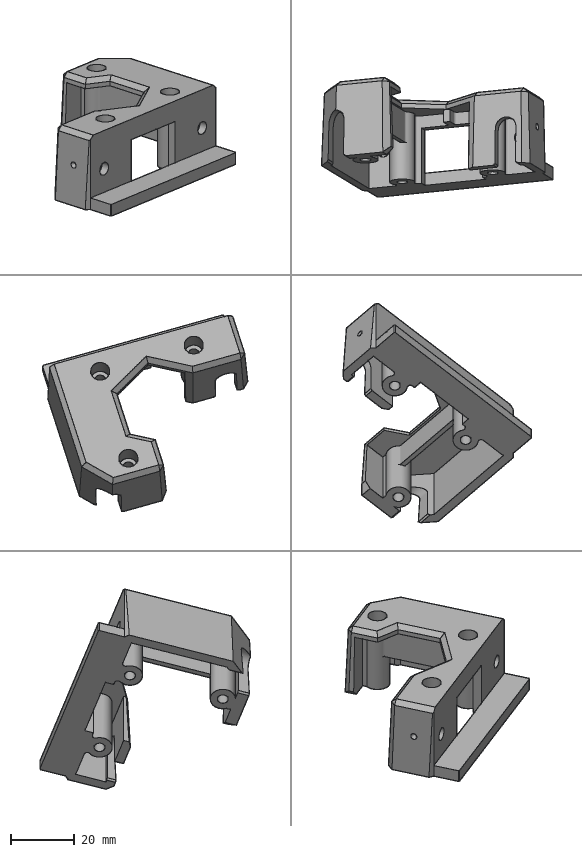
import cadquery as cq
import math


length_y = 62.4
height = 25.0
back_x = 44.9
flange_end_x = 53.6

draft_inset = 0.9
rim_height = 1.5
rim_inset = 1.6
side_height = height - rim_height
roof_underside = 22.0
side_overrun = 12.5

long_leg_end_y = 35.6
short_leg_x = 29.05
slant_x = 9.1
slant_y = 54.25

centre_x = 22.9
centre_y = length_y / 2
hex_apothem = 11.55
screw_spacing = 30.95

facet_leg = 2.05
facet_leg_rim = 3.5
facet_leg_top = 5.0
back_corner = 1.2
foot_chamfer = 2.2

long_leg_inner_x = 3.75
short_leg_inner_x = 32.0
side_wall = 2.9
back_wall_x = 42.1
window_half_width = 10.4
window_height = 18.0

post_diameter = 8.0
bore_diameter = 3.4
counterbore_diameter = 6.0
counterbore_floor = 17.45
post_fillet = 1.0

skirt_y = 44.3
skirt_thickness = 1.5
skirt_bottom = 12.0
web_y = 43.35

rib_width = 2.2
rib_tip_x = 37.55
rib_fillet = 0.95

mount_spacing = 46.9
mount_z = 12.0
slot_width = 7.05
mount_hole_diameter = 4.2
slot_corner = 0.55

dimple_diameter = 2.05
dimple_depth = 1.0
dimple_z = 13.7

flange_thickness = 4.0
flange_corner = 0.3

window_y = centre_y - window_half_width
near_screw = centre_y - screw_spacing / 2
far_screw = centre_y + screw_spacing / 2
left_screw = centre_x - screw_spacing / 2
right_screw = centre_x + screw_spacing / 2
screw_points = [(left_screw, far_screw), (right_screw, far_screw), (right_screw, near_screw)]
mount_ys = [centre_y - mount_spacing / 2, centre_y + mount_spacing / 2]


def block(x_range, y_range, z_range):
    """Box between the given limits."""
    size = [high - low for low, high in (x_range, y_range, z_range)]
    corner = (x_range[0], y_range[0], z_range[0])
    return cq.Workplane("XY").box(*size, centered=False).translate(corner)


def cylinder_x(diameter, y, z, x_range):
    """Cylinder along X."""
    start, end = x_range
    return cq.Workplane("YZ", origin=(start, y, z)).circle(diameter / 2).extrude(end - start)


def base_outline():
    """L-shaped plan with part of a hexagon cut from its inner corner."""
    half_side = hex_apothem / math.sqrt(3)
    slope = math.sqrt(3)
    tip_x = centre_x + 2 * half_side
    top_y = centre_y + hex_apothem
    leg_meets_hex_x = centre_x - half_side - (top_y - long_leg_end_y) / slope
    leg_meets_hex_y = centre_y - (tip_x - short_leg_x) * slope
    stock_x = back_x + side_overrun
    return [
        (short_leg_x, 0),
        (stock_x, 0),
        (stock_x, length_y),
        (slant_x, length_y),
        (0, slant_y),
        (0, long_leg_end_y),
        (leg_meets_hex_x, long_leg_end_y),
        (centre_x - half_side, top_y),
        (centre_x + half_side, top_y),
        (tip_x, centre_y),
        (short_leg_x, leg_meets_hex_y),
    ]


def inset_outline(points, inset):
    """Corners of a counterclockwise outline after its edges all move inward."""
    moved = []
    for index, (x, y) in enumerate(points):
        x_before, y_before = points[index - 1]
        x_after, y_after = points[(index + 1) % len(points)]
        angle_in = math.atan2(y - y_before, x - x_before)
        angle_out = math.atan2(y_after - y, x_after - x)
        half_turn = (angle_out - angle_in) / 2
        bisector = angle_in + half_turn + math.pi / 2
        reach = inset / math.cos(half_turn)
        moved.append((x + reach * math.cos(bisector), y + reach * math.sin(bisector)))
    return moved


def polygon_wire(corners):
    return cq.Wire.makePolygon([cq.Vector(*corner) for corner in corners], close=True)


def faceted_solid(rings):
    """Solid with flat faces between stacked rings that have the same number of corners."""
    faces = [cq.Face.makeFromWires(polygon_wire(ring)) for ring in (rings[0], rings[-1])]
    for lower, upper in zip(rings, rings[1:]):
        for index in range(len(lower)):
            corners = [lower[index - 1], lower[index], upper[index], upper[index - 1]]
            faces.append(cq.Face.makeFromWires(polygon_wire(corners)))
    return cq.Workplane(cq.Solid.makeSolid(cq.Shell.makeShell(faces)))


def corner_facet(x, y):
    """Tool that bevels an outer corner, closing to a point at the top face."""
    margin = 3.1
    rings = []
    for z, leg in [(0, facet_leg), (side_height, facet_leg_rim), (height, facet_leg_top)]:
        reach = leg + margin
        rings.append([(x - margin, y - margin, z), (x + reach, y - margin, z), (x - margin, y + reach, z)])
    return faceted_solid(rings)


def outer_shell():
    """Solid envelope of the housing."""
    rings = []
    for z, inset in [(0, 0), (side_height, draft_inset), (height, draft_inset + rim_inset)]:
        rings.append([(x, y, z) for x, y in inset_outline(base_outline(), inset)])
    shell = faceted_solid(rings)
    shell = shell.intersect(block((0, back_x), (0, length_y), (0, height)))
    for x, y in [(short_leg_x, 0), (0, long_leg_end_y)]:
        shell = shell.cut(corner_facet(x, y))
    for y, inward in [(0, 1), (length_y, -1)]:
        corner = [(back_x, y), (back_x - back_corner, y), (back_x, y + inward * back_corner)]
        shell = shell.cut(cq.Workplane("XY").polyline(corner).close().extrude(height))
    return shell


def cavity():
    """Hollow under the roof, open through the inner corner of the L."""
    slant_slope = (length_y - slant_y) / slant_x
    inner_slant_drop = side_wall * math.hypot(1, slant_slope)
    inner_far_y = length_y - side_wall
    inner_slant_start = slant_y - inner_slant_drop + slant_slope * long_leg_inner_x
    inner_slant_end = (inner_far_y - slant_y + inner_slant_drop) / slant_slope
    points = [
        (short_leg_inner_x, side_wall),
        (back_wall_x, side_wall),
        (back_wall_x, inner_far_y),
        (inner_slant_end, inner_far_y),
        (long_leg_inner_x, inner_slant_start),
        (long_leg_inner_x, window_y),
        (short_leg_inner_x, window_y),
    ]
    hollow = cq.Workplane("XY").polyline(points).close().extrude(roof_underside)
    leg_gap = block((short_leg_x - side_wall, short_leg_inner_x), (window_y, centre_y), (0, roof_underside))
    return hollow.union(leg_gap)


def window():
    """Opening in the back wall, down to the base."""
    y_range = (window_y, length_y - window_y)
    return block((back_wall_x, back_x), y_range, (0, window_height))


def foot_bevel():
    """Bevel under the free end of the long leg."""
    points = [
        (long_leg_end_y - foot_chamfer, 0),
        (long_leg_end_y + foot_chamfer, 0),
        (long_leg_end_y - foot_chamfer, 2 * foot_chamfer),
    ]
    return cq.Workplane("YZ").polyline(points).close().extrude(short_leg_x / 2)


def posts():
    return cq.Workplane("XY").pushPoints(screw_points).circle(post_diameter / 2).extrude(roof_underside)


def skirt():
    """Wall hanging from the roof between the two far posts."""
    x_range = (left_screw, right_screw)
    return block(x_range, (skirt_y, skirt_y + skirt_thickness), (skirt_bottom, roof_underside))


def leg_web():
    """Web joining the left post to the long leg."""
    return block((long_leg_inner_x, left_screw), (web_y, far_screw), (0, roof_underside))


def point_rib():
    """Rib below the roof with filleted roots at the back wall."""
    y_range = (centre_y - rib_width / 2, centre_y + rib_width / 2)
    z_range = (window_height, roof_underside)
    rib = block((rib_tip_x, back_x), y_range, z_range)
    half_root = rib_width / 2 + rib_fillet
    root = block((back_wall_x - rib_fillet, back_x), (centre_y - half_root, centre_y + half_root), z_range)
    for side in (-1, 1):
        centre = (back_wall_x - rib_fillet, centre_y + side * half_root)
        rounding = cq.Workplane("XY").pushPoints([centre]).circle(rib_fillet).extrude(height)
        root = root.cut(rounding)
    return rib.union(root)


def access_slot(y):
    """Round-topped slot through the leg wall, bevelled at the base."""
    half = slot_width / 2
    slot_end = right_screw - post_diameter / 2
    depth_range = (0, slot_end)
    slot = block(depth_range, (y - half, y + half), (0, mount_z))
    mouth_half = half + slot_corner
    mouth_points = [(y - mouth_half, 0), (y + mouth_half, 0), (y, mouth_half)]
    mouth = cq.Workplane("YZ").polyline(mouth_points).close().extrude(slot_end)
    return slot.union(cylinder_x(slot_width, y, mount_z, depth_range)).union(mouth)


def round_post_roots(body):
    """Fillet the corners where posts meet the back wall and the front of the skirt."""
    radius = post_diameter / 2
    wall_reach = math.sqrt(radius**2 - (back_wall_x - right_screw) ** 2)
    skirt_reach = math.sqrt(radius**2 - (far_screw - skirt_y) ** 2)
    roots = [(left_screw + skirt_reach, skirt_y), (right_screw - skirt_reach, skirt_y)]
    for y in (near_screw, far_screw):
        roots += [(back_wall_x, y - wall_reach), (back_wall_x, y + wall_reach)]
    margin = 0.1
    for x, y in roots:
        spot = cq.selectors.BoxSelector(
            (x - margin, y - margin, 0), (x + margin, y + margin, roof_underside)
        )
        body = body.edges("|Z").edges(spot).fillet(post_fillet)
    return body


def screw_bores():
    """Stepped bores through the roof and posts."""
    bores = cq.Workplane("XY").pushPoints(screw_points).circle(bore_diameter / 2).extrude(height)
    heads = cq.Workplane("XY", origin=(0, 0, counterbore_floor)).pushPoints(screw_points)
    return bores.union(heads.circle(counterbore_diameter / 2).extrude(height - counterbore_floor))


def side_dimple():
    """Conical dimple in the near drafted wall, level with the near post."""
    wall_y = draft_inset * dimple_z / side_height
    cone = cq.Solid.makeCone(
        dimple_diameter,
        0,
        2 * dimple_depth,
        pnt=cq.Vector(right_screw, wall_y - dimple_depth, dimple_z),
        dir=cq.Vector(0, 1, 0),
    )
    return cq.Workplane(cone)


def flange():
    """Low plate along the back face."""
    y_range = (back_corner, length_y - back_corner)
    plate = block((back_x, flange_end_x), y_range, (0, flange_thickness))
    return plate.edges("|Z and >X").chamfer(flange_corner)


def make_housing():
    body = outer_shell().cut(cavity()).cut(window()).cut(foot_bevel())
    for y in mount_ys:
        body = body.cut(access_slot(y))
        body = body.cut(cylinder_x(mount_hole_diameter, y, mount_z, (back_wall_x, back_x)))
    body = body.union(posts()).union(skirt()).union(leg_web()).union(point_rib())
    body = round_post_roots(body)
    body = body.cut(screw_bores()).cut(side_dimple())
    return body.union(flange())


housing = make_housing()
result = cq.Compound.makeCompound([housing.val()])